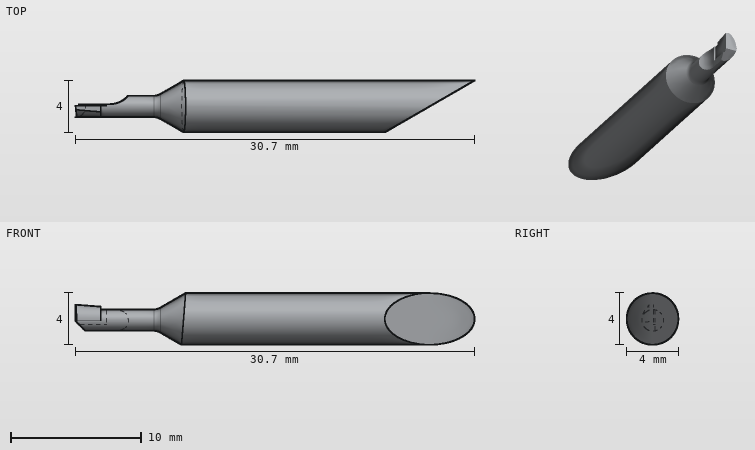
import cadquery as cq
import math

total_length = 30.7
shank_radius = 2.0
tail_angle = 30

neck_axis_z = -0.1
neck_radius = 0.83
cone_angle = 30
cone_start = 6.3
corner_radius = 1.05

flat_y = 0.18
flat_length = 2.67
runout_end = 4.05
runout_radius = 1.85

rake_y = 0.05
rake_length = 2.35
ledge_z = -0.4

head_length = 1.97
head_top_front = 1.1
head_top_back = 0.95
land_y = -0.25
flank_bulge_y = -0.68
flank_bulge_z = 0.58
heel_chamfer = 0.77
face_relief = 0.1


def make_shank():
    """Cylinder limited by the neck cone, with a slanted tail."""
    tail_run = 2 * shank_radius / math.tan(math.radians(tail_angle))
    outline = (
        cq.Workplane("XY")
        .moveTo(0, -shank_radius)
        .lineTo(total_length - tail_run, -shank_radius)
        .lineTo(total_length, shank_radius)
        .lineTo(0, shank_radius)
        .close()
        .extrude(shank_radius, both=True)
    )
    cylinder = cq.Workplane("YZ").circle(shank_radius).extrude(total_length)
    return cylinder.intersect(outline)


def make_neck_envelope():
    """Neck blended into a cone, then widened to clear the shank."""
    slope = math.tan(math.radians(cone_angle))
    envelope_radius = 2 * shank_radius
    cone_end = cone_start + (envelope_radius - neck_radius) / slope
    tangent = corner_radius * math.tan(math.radians(cone_angle / 2))
    blend_x = cone_start + tangent * math.cos(math.radians(cone_angle))
    blend_r = neck_radius + tangent * math.sin(math.radians(cone_angle))
    return (
        cq.Workplane("XZ")
        .moveTo(0, 0)
        .lineTo(0, neck_radius)
        .lineTo(cone_start - tangent, neck_radius)
        .tangentArcPoint((blend_x, blend_r), relative=False)
        .lineTo(cone_end, envelope_radius)
        .lineTo(total_length, envelope_radius)
        .lineTo(total_length, 0)
        .close()
        .revolve(360, (0, 0, 0), (1, 0, 0))
        .translate((0, 0, neck_axis_z))
    )


def make_head():
    """Cutting head: curved flank, with its top falling away to the back."""
    section = (
        cq.Workplane("YZ")
        .moveTo(rake_y, neck_axis_z)
        .lineTo(rake_y, head_top_front)
        .lineTo(land_y, head_top_front)
        .threePointArc((flank_bulge_y, flank_bulge_z), (-neck_radius, neck_axis_z))
        .close()
        .extrude(head_length)
    )
    top_profile = (
        cq.Workplane("XZ")
        .moveTo(0, neck_axis_z)
        .lineTo(0, head_top_front)
        .lineTo(head_length, head_top_back)
        .lineTo(head_length, neck_axis_z)
        .close()
        .extrude(shank_radius, both=True)
    )
    return section.intersect(top_profile)


def make_flat_cut():
    """Material removed above the flat, with a curved runout."""
    return (
        cq.Workplane("XY")
        .moveTo(0, flat_y)
        .lineTo(flat_length, flat_y)
        .radiusArc((runout_end, neck_radius), -runout_radius)
        .lineTo(runout_end, shank_radius)
        .lineTo(0, shank_radius)
        .close()
        .extrude(shank_radius, both=True)
    )


def make_rake_cut():
    """Shallow recess in the flat that forms the rake face."""
    return cq.Workplane("XY").box(
        rake_length, shank_radius, shank_radius, centered=False
    ).translate((0, rake_y, ledge_z))


def make_heel_cut():
    """45 degree wedge under the tip."""
    neck_bottom = neck_axis_z - neck_radius
    return (
        cq.Workplane("XZ")
        .moveTo(0, neck_bottom)
        .lineTo(heel_chamfer, neck_bottom)
        .lineTo(0, neck_bottom + heel_chamfer)
        .close()
        .extrude(shank_radius, both=True)
    )


def make_face_cut():
    """Thin wedge that leans the tip face back towards -Y."""
    return (
        cq.Workplane("XY")
        .moveTo(0, rake_y)
        .lineTo(face_relief, -neck_radius)
        .lineTo(0, -neck_radius)
        .close()
        .extrude(shank_radius, both=True)
    )


body = make_shank().intersect(make_neck_envelope())
body = body.cut(make_flat_cut()).cut(make_rake_cut()).union(make_head())
result = body.cut(make_heel_cut()).cut(make_face_cut())